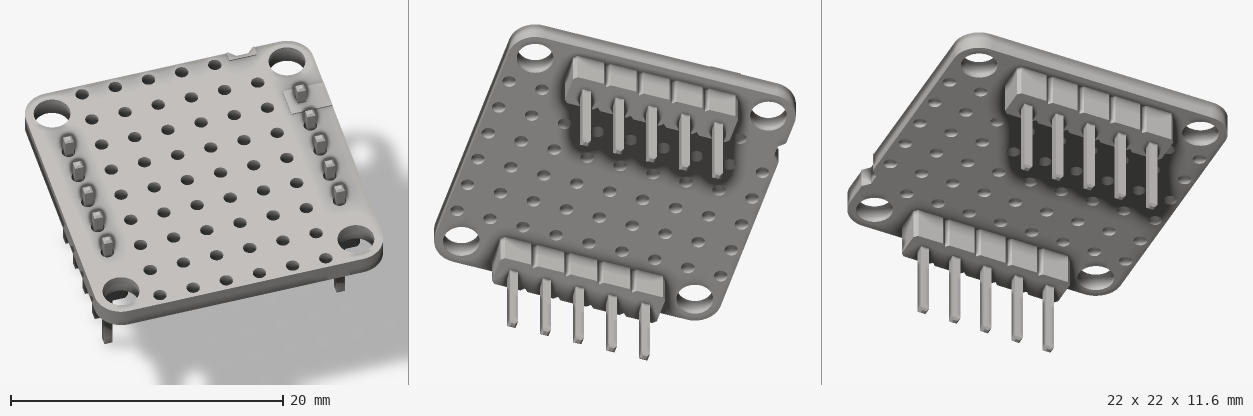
import cadquery as cq

board_side = 22.0
board_thickness = 1.5
corner_radius = 2.0
mounting_hole_diameter = 2.7
contact_hole_diameter = 1.0
hole_columns = 9
hole_rows = 6
grid_span = 20.33
print_thickness = 0.09

notch_y = 6.0
notch_depth = 0.5
notch_floor = 0.9
notch_patch_depth = 0.8
notch_patch_width = 2.13

ground_patch_width = 2.3
ground_patch_length = 3.15

pins_per_header = 5
pin_side = 0.64
pin_tip_chamfer = 0.15
pin_above_board = 1.52
pin_below_block = 6.0
block_height = 2.53
block_chamfer = 0.26

half_board = board_side / 2
pitch = grid_span / (hole_columns - 1)
mounting_hole_spacing = board_side - 2 * corner_radius
header_y = (hole_rows + 1) / 2 * pitch
column_x = [(i - (hole_columns - 1) / 2) * pitch for i in range(hole_columns)]
row_y = [(i - (hole_rows - 1) / 2) * pitch for i in range(hole_rows)]
pin_x = [(i - (pins_per_header - 1) / 2) * pitch for i in range(pins_per_header)]
pin_bottom = -block_height - pin_below_block
pin_length = board_thickness + pin_above_board - pin_bottom


def plain_board():
    """Square plate with rounded corners."""
    plate = cq.Workplane("XY").rect(board_side, board_side).extrude(board_thickness)
    return plate.edges("|Z").fillet(corner_radius)


def round_holes(points, diameter):
    """Through holes in the board, as one cutting tool."""
    return cq.Workplane("XY").pushPoints(points).circle(diameter / 2).extrude(board_thickness)


def mounting_holes():
    """Corner holes concentric with the rounded corners."""
    offset = mounting_hole_spacing / 2
    corners = [(x, y) for x in (-offset, offset) for y in (-offset, offset)]
    return round_holes(corners, mounting_hole_diameter)


def contact_holes():
    """Open grid, without the position beside the notch, plus the pin holes of both headers."""
    notch_position = (column_x[0], row_y[-1])
    grid = [(x, y) for x in column_x for y in row_y if (x, y) != notch_position]
    pin_places = [(x, y) for x in pin_x for y in (-header_y, header_y)]
    return round_holes(grid + pin_places, contact_hole_diameter)


def ground_patch():
    """Raised patch at the +Y edge that closes around the first pin."""
    patch = (
        cq.Workplane("XY")
        .workplane(offset=board_thickness)
        .center(pin_x[0], half_board - ground_patch_length / 2)
        .rect(ground_patch_width, ground_patch_length)
        .extrude(print_thickness)
    )
    pin_opening = (
        cq.Workplane("XY")
        .workplane(offset=board_thickness)
        .center(pin_x[0], header_y)
        .rect(pin_side, pin_side)
        .extrude(print_thickness)
    )
    return patch.cut(pin_opening)


def notch_patch():
    """Raised patch around the edge notch."""
    return (
        cq.Workplane("XY")
        .workplane(offset=board_thickness)
        .center(-half_board + notch_patch_depth / 2, notch_y)
        .rect(notch_patch_depth, notch_patch_width)
        .extrude(print_thickness)
    )


def notch():
    """Trapezoidal notch, narrowing at 45 degrees from the -X edge to its floor."""
    half_floor = notch_floor / 2
    half_mouth = half_floor + notch_depth
    floor_x = -half_board + notch_depth
    outline = [
        (-half_board, notch_y - half_mouth),
        (floor_x, notch_y - half_floor),
        (floor_x, notch_y + half_floor),
        (-half_board, notch_y + half_mouth),
    ]
    return cq.Workplane("XY").polyline(outline).close().extrude(board_thickness + print_thickness)


def make_board():
    drilled = plain_board().cut(mounting_holes()).cut(contact_holes())
    return drilled.union(ground_patch()).union(notch_patch()).cut(notch())


def make_pin(x, y):
    """Square pin with chamfered ends."""
    bar = (
        cq.Workplane("XY")
        .workplane(offset=pin_bottom)
        .center(x, y)
        .rect(pin_side, pin_side)
        .extrude(pin_length)
    )
    return bar.faces("<Z or >Z").edges().chamfer(pin_tip_chamfer)


def make_block(x, y):
    """Insulator cell below the board with chamfered upright edges."""
    cell = (
        cq.Workplane("XY")
        .workplane(offset=-block_height)
        .center(x, y)
        .rect(pitch, pitch)
        .extrude(block_height)
    )
    return cell.edges("|Z").chamfer(block_chamfer)


def make_header(y):
    """Row of insulator cells joined side by side, each moulded around its pin."""
    header = make_block(pin_x[0], y)
    for x in pin_x[1:]:
        header = header.union(make_block(x, y))
    for x in pin_x:
        header = header.union(make_pin(x, y))
    return header


board = make_board()
headers = [make_header(y) for y in (-header_y, header_y)]

result = cq.Compound.makeCompound([board.val(), *[header.val() for header in headers]])